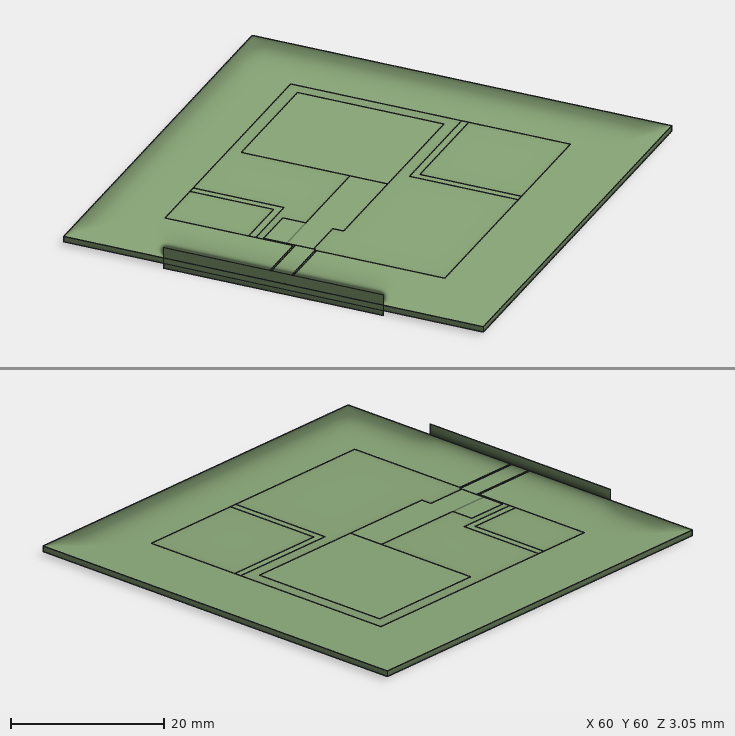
import cadquery as cq

overall = 60.0
half = overall / 2
port_thickness = 0.01
board_front = -half + port_thickness
substrate_thickness = overall / 75
copper_thickness = 0.035

slot_half = overall / 3
feed_width = 2.9
feed_gap = 0.25
feed_opening = feed_width + 2 * feed_gap
feed_end = -slot_half + feed_gap

patch_left = -18.25
patch_right = 2.7
patch_top = 18.25
patch_bottom = 0.35
stem_left = -2.7
step_y = -13.7
stub_left = -6.0
stem_foot_right = 1.15

strip_width = 1.0
upper_strip_x = 4.45
upper_strip_y = 3.4
lower_strip_x = -7.0
lower_strip_y = -11.05

port_width = 31.45
port_drop = 0.7
port_rise = 1.55
port_height = port_drop + substrate_thickness + port_rise


def block(x_min, x_max, y_min, y_max, z_min, height):
    """Box given by its limits in X and Y, its base and its height."""
    return cq.Workplane("XY").box(
        x_max - x_min, y_max - y_min, height, centered=False
    ).translate((x_min, y_min, z_min))


def copper(x_min, x_max, y_min, y_max):
    """Rectangle of copper foil on top of the substrate."""
    return block(x_min, x_max, y_min, y_max, substrate_thickness, copper_thickness)


def make_substrate():
    return block(-half, half, board_front, half, 0, substrate_thickness)


def make_ground():
    """Copper frame, opened at the front for the feed line."""
    sheet = copper(-half, half, board_front, half)
    slot = copper(-slot_half, slot_half, -slot_half, slot_half)
    opening = copper(-feed_opening / 2, feed_opening / 2, board_front, 0)
    return sheet.cut(slot).cut(opening)


def make_feed():
    return copper(-feed_width / 2, feed_width / 2, board_front, feed_end)


def make_patch():
    return copper(patch_left, patch_right, patch_bottom, patch_top)


def make_stem():
    """Strip from the patch to the feed line, with a side stub at its foot."""
    stem_outline = [
        (stem_left, patch_bottom),
        (patch_right, patch_bottom),
        (patch_right, step_y),
        (stem_foot_right, step_y),
        (stem_foot_right, feed_end),
        (stem_left, feed_end),
    ]
    strip = (
        cq.Workplane("XY", origin=(0, 0, substrate_thickness))
        .polyline(stem_outline)
        .close()
        .extrude(copper_thickness)
    )
    stub = copper(stub_left, stem_left, feed_end, step_y)
    return strip.union(stub, clean=False)


def make_corner_strip(corner_x, corner_y):
    """L strip whose two arms run from its corner to the nearest slot edges."""
    x_sign = 1 if corner_x > 0 else -1
    y_sign = 1 if corner_y > 0 else -1
    slot_x = x_sign * slot_half
    slot_y = y_sign * slot_half
    inner_x = corner_x + x_sign * strip_width
    inner_y = corner_y + y_sign * strip_width
    return (
        cq.Workplane("XY", origin=(0, 0, substrate_thickness))
        .polyline([
            (corner_x, slot_y),
            (corner_x, corner_y),
            (slot_x, corner_y),
            (slot_x, inner_y),
            (inner_x, inner_y),
            (inner_x, slot_y),
        ])
        .close()
        .extrude(copper_thickness)
    )


def make_port():
    return block(-port_width / 2, port_width / 2, -half, board_front, -port_drop, port_height)


substrate = make_substrate()
ground = make_ground()
feed = make_feed()
patch = make_patch()
stem = make_stem()
port = make_port()
corner_strips = [
    make_corner_strip(x, y)
    for x, y in [(upper_strip_x, upper_strip_y), (lower_strip_x, lower_strip_y)]
]

result = cq.Compound.makeCompound([
    substrate.val(),
    ground.val(),
    feed.val(),
    patch.val(),
    stem.val(),
    port.val(),
    *[strip.val() for strip in corner_strips],
])